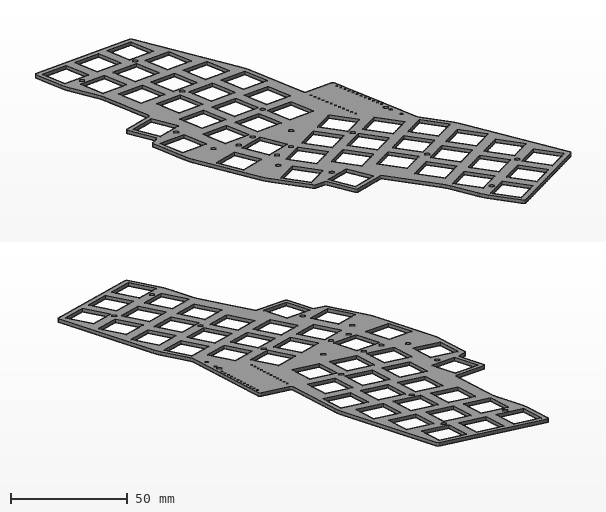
import cadquery as cq
import math

THICKNESS = 1.6
LENGTH = 251.4
WIDTH = 103.8
HALF_LENGTH = LENGTH / 2
HALF_WIDTH = WIDTH / 2
SPLAY_ANGLE = 13.0
SLOPE = math.tan(math.radians(SPLAY_ANGLE))

COLUMNS = 6
ROWS = 3
COLUMN_SPAN = 95.0
KEY_PITCH = COLUMN_SPAN / (COLUMNS - 1)
KEY_GAP = 5.0
SWITCH_SIZE = KEY_PITCH - KEY_GAP
COLUMN_STAGGER = KEY_PITCH * SLOPE
INNER_KEY = (12.3, 15.8)
STAGGER_SIGNS = (1, 1, -1, -1, -1)
SPLAYED_THUMB_KEY = (30.5, -39.7)
OUTER_THUMB_KEY = (50.0, -31.5)
MIDDLE_KEYS = ((0, -22.5), (0, -42.5))

MOUNT_DIAMETER = 2.3
CENTER_MOUNT = (0, -2.3)
SIDE_MOUNTS = (
    (98.0, 25.0),
    (23.0, 10.5),
    (62.8, 8.3),
    (105.0, -5.5),
    (9.8, -17.0),
    (9.8, -28.0),
    (40.0, -31.0),
    (16.5, -37.2),
)

PIN_DIAMETER = 0.8
PINS_PER_ROW = 12
PIN_ROW_LENGTH = 28.0
PIN_PITCH = PIN_ROW_LENGTH / (PINS_PER_ROW - 1)
PIN_ROW_SPACING = 6 * PIN_PITCH
PIN_FIELD_CENTER = (0.8, 39.2)
TAB_MOUNT = (19.5, 41.5)
RESET_HOLE_DIAMETER = 1.3
RESET_HOLE_OFFSETS = (3.0, 9.8)

CORNER_RADIUS = 1.0
VALLEY_RADIUS = 5.0
BEND_RADIUS = 20.0
CORNER_OVERSHOOT = CORNER_RADIUS * (
    math.cos(math.radians(SPLAY_ANGLE)) + math.sin(math.radians(SPLAY_ANGLE)) - 1
)
SIDE_CORNER_X = HALF_LENGTH + CORNER_OVERSHOOT
TAB_TOP_Y = HALF_WIDTH + CORNER_OVERSHOOT
TOP_Y = 44.2
TOP_BEND_X = 53.8
TAB_TOP_X = -14.5
TAB_FOOT_X = -18.3
SIDE_CORNER_Y = -11.0
OUTER_BEND_X = 107.3
INNER_BEND_X = 88.5
THUMB_MARGIN = 9.3
THUMB_NOTCH_X = 43.2
THUMB_CORNER_X = 41.7
BOTTOM_BEND_X = 19.4


def turned(x, y, angle):
    """Turn a point about the origin by an angle in degrees."""
    c = math.cos(math.radians(angle))
    s = math.sin(math.radians(angle))
    return (x * c - y * s, x * s + y * c)


def shifted(origin, offset):
    return (origin[0] + offset[0], origin[1] + offset[1])


def mirrored(points):
    """Mirror points from one half of the plate to the other."""
    return [(-x, y) for x, y in points]


def plate():
    """Blank plate with sharp outline corners rounded afterwards."""
    flat_y = SIDE_CORNER_Y - (SIDE_CORNER_X - OUTER_BEND_X) * SLOPE
    thumb_x = OUTER_THUMB_KEY[0] + THUMB_MARGIN
    thumb_y = OUTER_THUMB_KEY[1] - THUMB_MARGIN
    top_bend = (TOP_BEND_X, TOP_Y)
    outer_bend = (OUTER_BEND_X, flat_y)
    inner_bend = (INNER_BEND_X, flat_y)
    bottom_bend = (BOTTOM_BEND_X, -HALF_WIDTH)

    right = [
        top_bend,
        (SIDE_CORNER_X - (TOP_Y - SIDE_CORNER_Y) * SLOPE, TOP_Y),
        (SIDE_CORNER_X, SIDE_CORNER_Y),
        outer_bend,
        inner_bend,
        (thumb_x, flat_y - (INNER_BEND_X - thumb_x) * SLOPE),
        (thumb_x, thumb_y),
        (THUMB_NOTCH_X, thumb_y),
        (THUMB_CORNER_X, (THUMB_CORNER_X - BOTTOM_BEND_X) * SLOPE - HALF_WIDTH),
        bottom_bend,
    ]
    tab_foot = (TAB_FOOT_X, TOP_Y - (TOP_BEND_X + TAB_FOOT_X) * SLOPE)
    tab_top = (TAB_TOP_X, TAB_TOP_Y)
    valley_x = ((TAB_TOP_Y - TOP_Y) / SLOPE + TAB_TOP_X + TOP_BEND_X) / 2
    valley = (valley_x, TAB_TOP_Y - (valley_x - TAB_TOP_X) * SLOPE)

    outline = right + mirrored(reversed(right)) + [tab_foot, tab_top, valley]
    bends = [top_bend, outer_bend, inner_bend, bottom_bend]
    bends += mirrored(bends)
    corners = [point for point in outline if point not in bends and point != valley]

    body = cq.Workplane("XY").workplane(offset=-THICKNESS / 2).polyline(outline).close().extrude(THICKNESS)
    body = round_corners(body, bends, BEND_RADIUS)
    body = round_corners(body, [valley], VALLEY_RADIUS)
    return round_corners(body, corners, CORNER_RADIUS)


def round_corners(body, points, radius):
    """Fillet the upright edges that stand at the given outline points."""
    for x, y in points:
        corner = cq.selectors.NearestToPointSelector((x, y, 0))
        body = body.edges("|Z").edges(corner).fillet(radius)
    return body


def splayed_keys():
    """Centres of the right half's turned keys."""
    keys = [SPLAYED_THUMB_KEY]
    column_top = INNER_KEY
    row_step = turned(0, -KEY_PITCH, SPLAY_ANGLE)
    for column in range(COLUMNS):
        if column > 0:
            stagger = STAGGER_SIGNS[column - 1] * COLUMN_STAGGER
            column_top = shifted(column_top, turned(KEY_PITCH, stagger, SPLAY_ANGLE))
        for row in range(ROWS):
            keys.append((column_top[0] + row * row_step[0], column_top[1] + row * row_step[1]))
    return keys


def switch_cutters(points, angle):
    """Square cutters at the given centres, each turned by an angle in degrees."""
    cutter = cq.Workplane("XY").box(SWITCH_SIZE, SWITCH_SIZE, 2 * THICKNESS)
    cutter = cutter.rotate((0, 0, 0), (0, 0, 1), angle).val()
    return cq.Workplane("XY").pushPoints(points).eachpoint(cutter.moved)


def hole_cutters(points, diameter):
    """Round cutters that pass right through the plate."""
    return (
        cq.Workplane("XY")
        .workplane(offset=-THICKNESS)
        .pushPoints(points)
        .circle(diameter / 2)
        .extrude(2 * THICKNESS)
    )


def pin_points():
    """Pin centres of both controller rows."""
    points = []
    for side in (-1, 1):
        for pin in range(PINS_PER_ROW):
            along = (pin - (PINS_PER_ROW - 1) / 2) * PIN_PITCH
            offset = turned(along, side * PIN_ROW_SPACING / 2, -SPLAY_ANGLE)
            points.append(shifted(PIN_FIELD_CENTER, offset))
    return points


right_keys = splayed_keys()
straight_keys = [OUTER_THUMB_KEY, *mirrored([OUTER_THUMB_KEY]), *MIDDLE_KEYS]
mounts = [CENTER_MOUNT, TAB_MOUNT, *SIDE_MOUNTS, *mirrored(SIDE_MOUNTS)]
reset_holes = [shifted(TAB_MOUNT, turned(along, 0, -SPLAY_ANGLE)) for along in RESET_HOLE_OFFSETS]

result = (
    plate()
    .cut(switch_cutters(right_keys, SPLAY_ANGLE))
    .cut(switch_cutters(mirrored(right_keys), -SPLAY_ANGLE))
    .cut(switch_cutters(straight_keys, 0))
    .cut(hole_cutters(mounts, MOUNT_DIAMETER))
    .cut(hole_cutters(pin_points(), PIN_DIAMETER))
    .cut(hole_cutters(reset_holes, RESET_HOLE_DIAMETER))
)